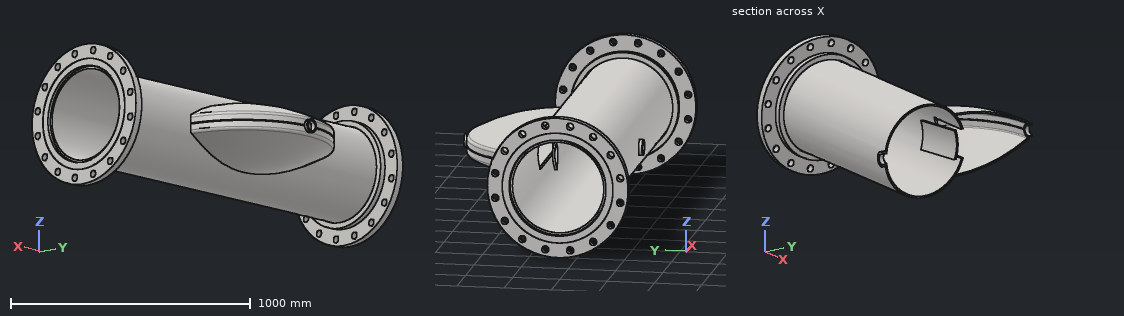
import cadquery as cq
import math

INCH = 25.4

overall_length = 64 * INCH
pipe_outer_radius = 8 * INCH
pipe_wall = 0.375 * INCH
pipe_inner_radius = pipe_outer_radius - pipe_wall
pipe_setback = 0.5 * INCH

flange_radius = 11.75 * INCH
flange_bore_radius = 8.08 * INCH
flange_plate_thickness = 1.4375 * INCH
flange_length = 2.5 * INCH
flange_hub_radius = 9 * INCH
raised_face_radius = 9.25 * INCH
raised_face_height = 0.0625 * INCH
bolt_count = 16
bolt_circle_radius = 10.625 * INCH
bolt_hole_diameter = 1.125 * INCH

chamber_center_y = 5.75 * INCH
head_radius = 15 * INCH
head_crown_radius = 2 * head_radius
head_knuckle_radius = 0.625 * INCH
head_skirt_length = 1 * INCH
head_wall = pipe_wall
head_gap = 0.125 * INCH

scoop_width = 5 * INCH
scoop_length = 16 * INCH
scoop_angle = 10
scoop_hinge_x = scoop_length / 2
scoop_hinge_y = math.sqrt(pipe_inner_radius**2 - (scoop_width / 2) ** 2)

vent_outer_radius = 1.125 * INCH
drain_outer_radius = 1.3125 * INCH
coupling_bore_radius = 0.875 * INCH
coupling_projection = 0.5 * INCH

pipe_half_length = overall_length / 2 - pipe_setback
vent_tip_y = chamber_center_y + head_radius + coupling_projection
drain_tip_y = -pipe_outer_radius - coupling_projection


def x_cylinder(radius, x_start, x_end):
    return cq.Workplane("YZ", origin=(x_start, 0, 0)).circle(radius).extrude(x_end - x_start)


def y_cylinder(radius, y_start, y_end):
    return cq.Workplane("XZ", origin=(0, y_end, 0)).circle(radius).extrude(y_end - y_start)


pipe_blank = x_cylinder(pipe_outer_radius, -pipe_half_length, pipe_half_length)
pipe_bore = x_cylinder(pipe_inner_radius, -pipe_half_length, pipe_half_length)
pipe_wall_tube = pipe_blank.cut(pipe_bore)
scoop_window = cq.Workplane("XY").box(
    scoop_length, pipe_outer_radius, scoop_width, centered=(True, False, True)
)
drain_blank = y_cylinder(drain_outer_radius, drain_tip_y, 0)
vent_blank = y_cylinder(vent_outer_radius, chamber_center_y, vent_tip_y)


def make_pipe():
    """Pipe with the window left by the scoop and a seat for the drain coupling."""
    return pipe_wall_tube.cut(scoop_window).cut(drain_blank)


def make_flange():
    """Slip-on flange at the -X end: raised face outward, hub toward the middle."""
    face_x = -overall_length / 2
    plate_x = face_x + raised_face_height
    raised_face = x_cylinder(raised_face_radius, face_x, plate_x)
    plate = x_cylinder(flange_radius, plate_x, face_x + flange_plate_thickness)
    hub = x_cylinder(flange_hub_radius, plate_x, face_x + flange_length)
    bore = x_cylinder(flange_bore_radius, face_x, face_x + flange_length)
    bolt_holes = (
        cq.Workplane("YZ", origin=(plate_x, 0, 0))
        .polarArray(bolt_circle_radius, 180 / bolt_count, 360, bolt_count)
        .circle(bolt_hole_diameter / 2)
        .extrude(flange_plate_thickness)
    )
    return plate.union(hub).union(raised_face).cut(bore).cut(bolt_holes)


def make_head_blank(inset, base_z):
    """Solid head above base_z, with its outside moved inward by inset."""
    skirt_radius = head_radius - inset
    knuckle_radius = head_knuckle_radius - inset
    crown_radius = head_crown_radius - inset
    skirt_z = head_gap / 2 + head_skirt_length

    knuckle_center_r = skirt_radius - knuckle_radius
    center_distance = crown_radius - knuckle_radius
    crown_angle = math.asin(knuckle_center_r / center_distance)
    crown_center_z = skirt_z - center_distance * math.cos(crown_angle)
    knuckle_angle = (math.pi / 2 + crown_angle) / 2

    def on_knuckle(angle):
        r = knuckle_center_r + knuckle_radius * math.sin(angle)
        z = skirt_z + knuckle_radius * math.cos(angle)
        return (r, z)

    def on_crown(angle):
        r = crown_radius * math.sin(angle)
        z = crown_center_z + crown_radius * math.cos(angle)
        return (r, z)

    profile = (
        cq.Workplane("YZ")
        .moveTo(0, base_z)
        .lineTo(skirt_radius, base_z)
        .lineTo(skirt_radius, skirt_z)
        .threePointArc(on_knuckle(knuckle_angle), on_knuckle(crown_angle))
        .threePointArc(on_crown(crown_angle / 2), on_crown(0))
        .close()
    )
    return profile.revolve(360, (0, 0, 0), (0, 1, 0)).translate((0, chamber_center_y, 0))


def make_upper_head():
    """Head shell above the XY plane, trimmed to the outside of the pipe and the vent."""
    shell = make_head_blank(0, head_gap / 2).cut(make_head_blank(head_wall, 0))
    trimmed = shell.cut(pipe_blank).cut(vent_blank)
    return trimmed.solids(">Y")


def make_scoop():
    """Curved strip of pipe wall with its -X tip swung into the bore."""
    strip = pipe_wall_tube.intersect(scoop_window)
    hinge_bottom = (scoop_hinge_x, scoop_hinge_y, 0)
    hinge_top = (scoop_hinge_x, scoop_hinge_y, 1)
    return strip.rotate(hinge_bottom, hinge_top, scoop_angle)


def make_drain():
    """Coupling through the pipe wall, flush with the pipe bore."""
    return drain_blank.cut(y_cylinder(coupling_bore_radius, drain_tip_y, 0)).cut(pipe_bore)


def make_vent():
    """Coupling through the chamber rim, flush with the inside of the heads."""
    inside = y_cylinder(vent_outer_radius, chamber_center_y, chamber_center_y + head_radius - head_wall)
    bore = y_cylinder(coupling_bore_radius, chamber_center_y, vent_tip_y)
    return vent_blank.cut(inside).cut(bore)


pipe = make_pipe()
left_flange = make_flange()
right_flange = left_flange.mirror("YZ")
upper_head = make_upper_head()
lower_head = upper_head.mirror("XY")
scoop = make_scoop()
drain = make_drain()
vent = make_vent()

bodies = [pipe, left_flange, right_flange, upper_head, lower_head, scoop, drain, vent]
result = cq.Compound.makeCompound([body.val() for body in bodies])